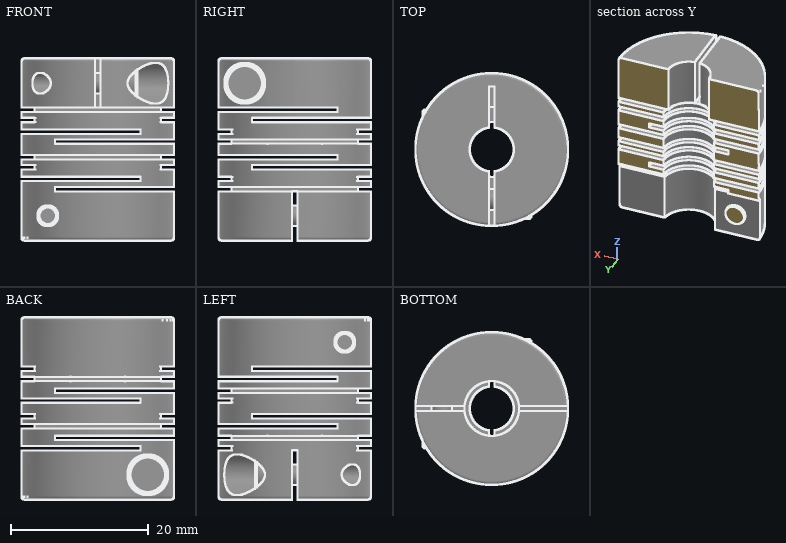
import cadquery as cq

length = 26.5
outer_radius = 11.1
edge_round = 0.5

small_bore_radius = 3.18
large_bore_radius = 3.98

cut_width = 0.6
cut_offsets = [5.78, 4.27, 2.57, 1.15]
cut_reach = 6.2
cut_sides = [180, 0, 90, -90]
hub_height = length / 2 - cut_offsets[0] - cut_width / 2

slot_width = 0.77
blind_slot_reach = 9.15

screw_axis_offset = 7.25
screw_end_distance = 3.63
hole_radius = 1.5
counterbore_radius = 2.97
head_radius = 2.8
head_end = 5.78
head_length = 3.0
screw_chamfer = 0.3
shank_length = 9.38

seat = head_end - head_length


def hollow_body():
    body = cq.Workplane("XY").circle(outer_radius).extrude(length).edges().fillet(edge_round)
    large_bore = cq.Workplane("XY").circle(large_bore_radius).extrude(length - hub_height)
    small_bore = cq.Workplane("XY").circle(small_bore_radius).extrude(length)
    return body.cut(large_bore).cut(small_bore)


def flexure_cut(height, side):
    """Flat cut open on one side, leaving a web on the opposite side."""
    return (
        cq.Workplane("XY")
        .box(2 * outer_radius, outer_radius + cut_reach, cut_width, centered=(True, False, True))
        .translate((0, -cut_reach, height))
        .rotate((0, 0, 0), (0, 0, 1), side)
    )


def clamp_slot(base, start, end):
    """Slot in the YZ plane, one hub high, running from start to end along Y."""
    return (
        cq.Workplane("XY")
        .box(slot_width, end - start, hub_height, centered=(True, False, False))
        .translate((0, start, base))
    )


def rod(radius, start, end):
    """Cylinder along X on the screw axis of the upper hub."""
    return (
        cq.Workplane("YZ", origin=(start, -screw_axis_offset, length - screw_end_distance))
        .circle(radius)
        .extrude(end - start)
    )


def screw_hole():
    hole = rod(hole_radius, -outer_radius, outer_radius)
    return hole.union(rod(counterbore_radius, seat, outer_radius))


def screw():
    head = rod(head_radius, seat, head_end).faces(">X").chamfer(screw_chamfer)
    shank = rod(hole_radius, seat - shank_length, seat).faces("<X").chamfer(screw_chamfer)
    return head.union(shank)


def to_lower_hub(shape):
    """Half turn that maps the upper hub onto the lower one, with X and Y swapped."""
    return shape.rotate((0, 0, length / 2), (0.26, 0.26, length / 2), 180)


result = hollow_body()

cut_heights = [length / 2 + offset for offset in cut_offsets]
cut_heights += [length / 2 - offset for offset in reversed(cut_offsets)]
for index, height in enumerate(cut_heights):
    result = result.cut(flexure_cut(height, cut_sides[index % len(cut_sides)]))

upper_slot = clamp_slot(length - hub_height, -outer_radius, blind_slot_reach)
lower_slot = to_lower_hub(clamp_slot(length - hub_height, -outer_radius, outer_radius))
result = result.cut(upper_slot).cut(lower_slot)

result = result.cut(screw_hole()).cut(to_lower_hub(screw_hole()))
result = result.union(screw()).union(to_lower_hub(screw()))